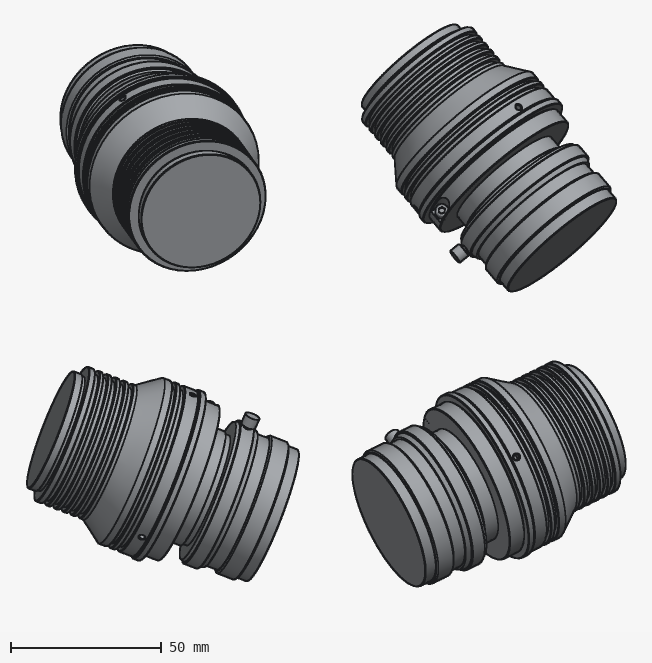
import cadquery as cq
import math

length = 79.5
bevel = 0.2

nose_radius = 23.45
nose_end = 4.0
name_ring_radius = 24.5
name_ring_front_bevel = 0.5
name_ring_end = 10.8
name_ring_rear_bevel = 0.55
neck_end = 15.3

iris_ring_end = 23.1
iris_cone_radius = 24.25
iris_flank_radius = 24.9
iris_band_radius = 25.5
iris_band_start = 17.0
iris_band_end = 22.0
iris_rear_radius = 24.5

waist_radius = 19.55
waist_end = 25.1
sleeve_radius = 20.35

clamp_start = 30.1
clamp_radius = 27.7
clamp_end = 35.8
relief_radius = 27.2
relief_end = 36.1

overall_width = 60.0
flange_radius = overall_width / 2
flange_end = 38.4

flange_groove_radius = 29.0
mount_radius = 29.5
mount_groove_radius = 27.9
hole_band_start = 38.6
hole_band_end = 43.6
rib_start = 45.1
rib_end = 46.75
shoulder_start = 48.0
shoulder_end = 50.7
cone_end = 58.4

fin_radius = 23.9
fin_root_radius = 22.4
fin_count = 4
first_fin_start = 61.4
last_fin_start = 73.4
fin_pitch = (last_fin_start - first_fin_start) / fin_count
fin_width = fin_pitch / 2
land_end = first_fin_start - (fin_pitch - fin_width)
last_fin_end = 75.6
undercut_radius = 20.35
collar_radius = 20.8
collar_start = 76.7

thumb_x = 19.55
thumb_head_radius = 2.55
thumb_head_start = 26.4
thumb_stem_radius = 1.3
thumb_hole_depth = 0.8

clamp_screw_x = (clamp_start + clamp_end) / 2
clamp_screw_y = 24.6
clamp_screw_radius = 2.2
clamp_screw_top = 8.5
clamp_screw_fillet = 0.3
clamp_socket_flats = 2.0
clamp_socket_depth = 1.0
clamp_socket_turn = 15.0
pocket_radius = 2.5
pocket_floor = 5.5

hole_count = 3
hole_x = 40.6
hole_radius = 0.95
hole_depth = 2.7
hole_tip_angle = math.radians(118)
hole_countersink = 0.3


def band(start, end, radius, front_bevel=0.0, rear_bevel=0.0):
    """Outline points (x, radius) of one cylindrical step with bevelled rims."""
    points = []
    if front_bevel:
        points.append((start, radius - front_bevel))
    points.append((start + front_bevel, radius))
    points.append((end - rear_bevel, radius))
    if rear_bevel:
        points.append((end, radius - rear_bevel))
    return points


def turned(points):
    """Solid made by turning a closed outline about the X axis."""
    return cq.Workplane("XY").polyline(points).close().revolve(360, (0, 0, 0), (1, 0, 0))


def make_barrel():
    """Nose, name ring, neck, iris ring, waist and the sleeve that carries both rings."""
    outline = [(0, 0)]
    outline += band(0, nose_end, nose_radius, front_bevel=bevel)
    outline += band(nose_end, name_ring_end, name_ring_radius, name_ring_front_bevel, name_ring_rear_bevel)
    outline += band(name_ring_end, neck_end, nose_radius)
    outline += [(neck_end, iris_cone_radius), (iris_band_start, iris_flank_radius)]
    outline += band(iris_band_start, iris_band_end, iris_band_radius, bevel, bevel)
    outline += [(iris_band_end, iris_flank_radius), (iris_ring_end, iris_rear_radius)]
    outline += band(iris_ring_end, waist_end, waist_radius)
    outline += band(waist_end, flange_end, sleeve_radius)
    outline += [(flange_end, 0)]
    return turned(outline)


def make_clamp_ring():
    """Ring on the sleeve with the pocket of the clamp screw."""
    outline = [(clamp_start, sleeve_radius)]
    outline += band(clamp_start, clamp_end, clamp_radius, front_bevel=bevel)
    outline += band(clamp_end, relief_end, relief_radius)
    outline += [(relief_end, sleeve_radius)]
    return turned(outline).cut(clamp_pocket())


def make_flange_ring():
    """Ring on the sleeve with the largest diameter."""
    outline = [(relief_end, sleeve_radius)]
    outline += band(relief_end, flange_end, flange_radius, bevel, bevel)
    outline += [(flange_end, sleeve_radius)]
    return turned(outline)


def make_mount():
    """Grooved mount, cone, finned tube and end collar, with the radial holes."""
    outline = [(flange_end, 0)]
    outline += band(flange_end, hole_band_start, flange_groove_radius)
    outline += band(hole_band_start, hole_band_end, mount_radius, bevel, bevel)
    outline += band(hole_band_end, rib_start, mount_groove_radius)
    outline += band(rib_start, rib_end, mount_radius, bevel, bevel)
    outline += band(rib_end, shoulder_start, mount_groove_radius)
    outline += band(shoulder_start, shoulder_end, mount_radius, front_bevel=bevel)
    outline += fin_outline()
    outline += band(last_fin_end, collar_start, undercut_radius)
    outline += band(collar_start, length, collar_radius, rear_bevel=bevel)
    outline += [(length, 0)]
    mount = turned(outline)
    for i in range(hole_count):
        mount = mount.cut(radial_hole(i * 360 / hole_count))
    return mount


def fin_outline():
    """Outline points of the land behind the cone and the fins with their grooves."""
    points = band(cone_end, land_end, fin_radius, rear_bevel=bevel)
    groove_start = land_end
    for i in range(fin_count):
        fin_start = first_fin_start + i * fin_pitch
        fin_end = fin_start + fin_width
        points += band(groove_start, fin_start, fin_root_radius)
        points += band(fin_start, fin_end, fin_radius, bevel, bevel)
        groove_start = fin_end
    points += band(groove_start, last_fin_start, fin_root_radius)
    points += band(last_fin_start, last_fin_end, fin_radius, bevel, bevel)
    return points


def radial_hole(angle):
    """Blind drilled hole with a countersunk mouth and a conical tip, at an angle from +Y."""
    tip_depth = hole_radius / math.tan(hole_tip_angle / 2)
    floor = mount_radius - hole_depth
    mouth = mount_radius - hole_countersink
    outline = [
        (0, floor - tip_depth),
        (hole_radius, floor),
        (hole_radius, mouth),
        (hole_radius + 2 * hole_countersink, mount_radius + hole_countersink),
        (0, mount_radius + hole_countersink),
    ]
    hole = cq.Workplane("XY").polyline(outline).close().revolve(360, (0, 0, 0), (0, 1, 0))
    return hole.translate((hole_x, 0, 0)).rotate((0, 0, 0), (1, 0, 0), angle)


def make_thumb_screw():
    """Round knob on a thinner stem that ends in a blind hole of the iris ring."""
    stem_start = iris_band_radius - thumb_hole_depth
    along_y = cq.Plane(origin=(thumb_x, 0, 0), xDir=(1, 0, 0), normal=(0, 1, 0))
    knob = (
        cq.Workplane(along_y)
        .workplane(offset=thumb_head_start)
        .circle(thumb_head_radius)
        .extrude(flange_radius - thumb_head_start)
    )
    stem = (
        cq.Workplane(along_y)
        .workplane(offset=stem_start)
        .circle(thumb_stem_radius)
        .extrude(thumb_head_start - stem_start)
    )
    return knob.union(stem)


def hexagon_diameter(flats):
    """Diameter across the corners of a hexagon with the given width across flats."""
    return flats / math.cos(math.pi / 6)


def make_clamp_screw():
    """Round screw head with a hexagon socket, resting on the pocket floor."""
    head = (
        cq.Workplane("XY", origin=(clamp_screw_x, clamp_screw_y, pocket_floor))
        .circle(clamp_screw_radius)
        .extrude(clamp_screw_top - pocket_floor)
        .faces(">Z")
        .edges()
        .fillet(clamp_screw_fillet)
    )
    socket = (
        cq.Workplane("XY", origin=(clamp_screw_x, clamp_screw_y, clamp_screw_top))
        .transformed(rotate=(0, 0, clamp_socket_turn))
        .polygon(6, hexagon_diameter(clamp_socket_flats))
        .extrude(-clamp_socket_depth)
    )
    return head.cut(socket)


def clamp_pocket():
    """Round-ended pocket, open upward and toward +Y."""
    height = clamp_radius - pocket_floor
    reach = clamp_radius - clamp_screw_y + pocket_radius
    origin = (clamp_screw_x, clamp_screw_y, pocket_floor)
    inner_end = cq.Workplane("XY", origin=origin).circle(pocket_radius).extrude(height)
    opening = (
        cq.Workplane("XY", origin=origin)
        .rect(2 * pocket_radius, reach)
        .extrude(height)
        .translate((0, reach / 2, 0))
    )
    return inner_end.union(opening)


thumb_screw = make_thumb_screw()
barrel = make_barrel().cut(thumb_screw)
clamp_ring = make_clamp_ring()
clamp_screw = make_clamp_screw()
flange_ring = make_flange_ring()
mount = make_mount()

bodies = [barrel, clamp_ring, flange_ring, mount, thumb_screw, clamp_screw]
result = cq.Compound.makeCompound([body.val() for body in bodies])